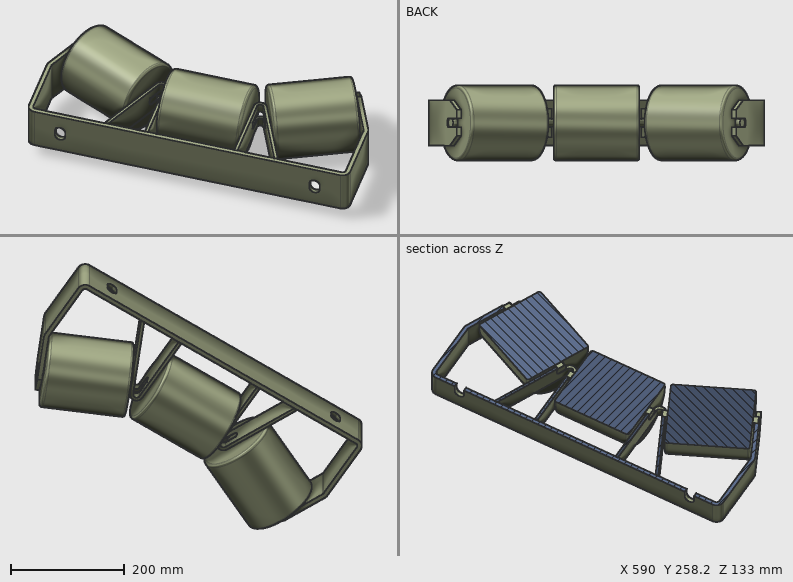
import cadquery as cq
import math

frame_length = 590.0
lean = 25.0
lean_rad = math.radians(lean)
along_axis = cq.Vector(math.cos(lean_rad), -math.sin(lean_rad))
up_leg = cq.Vector(math.sin(lean_rad), math.cos(lean_rad))

frame_width = 80.0
frame_thickness = 8.0
frame_bend_radius = 14.0
wing_start = 125.0
wing_length = 117.5
tip_chamfer_length = 29.5
tip_chamfer_width = 17.0
mount_slot_spacing = 467.0
mount_slot_width = 19.0
mount_slot_height = 28.5

roller_diameter = 133.0
roller_length = 151.0
roller_edge_radius = 5.0
roller_gap = 3.5
axle_diameter = 20.0
axle_flat_width = 14.0
axle_slot_width = 16.0
axle_slot_length = 59.0
center_axle_y = 125.0
wing_axle_depth = 30.0

support_width = 50.0
support_thickness = 6.0
support_bend_radius = 12.0
support_top = 154.0

frame_corner = cq.Vector(-frame_length / 2, wing_start)
support_face_x = roller_length / 2 + roller_gap
axle_length = 2 * (support_face_x + support_thickness)
bend_center = cq.Vector(-support_face_x - support_bend_radius, support_top - support_bend_radius)
leaning_face = bend_center - along_axis * support_bend_radius
wing_axle = frame_corner + up_leg * (wing_length - wing_axle_depth)
side_roller_reach = (leaning_face - wing_axle).dot(along_axis) - support_face_x
side_roller_center = wing_axle + along_axis * side_roller_reach


def xy(point):
    return (point.x, point.y)


def extrude_plate(outline, width):
    """Close an XY outline and extrude it to a width centred on Z = 0."""
    return outline.close().extrude(width).translate((0, 0, -width / 2))


def axle_slot(axle_point, open_direction, reach):
    """Cutter for an open-ended slot whose round bottom is concentric with the axle.

    It extends by `reach` to both sides of the axle point along the axle.
    """
    normal = cq.Vector(-open_direction.y, open_direction.x)
    plane = cq.Plane(origin=axle_point - normal * reach, xDir=open_direction, normal=normal)
    half_width = axle_slot_width / 2
    radius = axle_diameter / 2
    arc_start = -math.sqrt(radius**2 - half_width**2)
    return (
        cq.Workplane(plane)
        .moveTo(axle_slot_length, half_width).lineTo(arc_start, half_width)
        .threePointArc((-radius, 0), (arc_start, -half_width))
        .lineTo(axle_slot_length, -half_width).close()
        .extrude(2 * reach)
    )


def make_roller(center, angle):
    """Roller with its axle, the axle ends flattened on top and bottom."""
    drum = (
        cq.Workplane("YZ", origin=(-roller_length / 2, 0, 0)).circle(roller_diameter / 2)
        .extrude(roller_length).edges().fillet(roller_edge_radius)
    )
    axle = cq.Workplane("YZ", origin=(-axle_length / 2, 0, 0)).circle(axle_diameter / 2).extrude(axle_length)
    flats = cq.Workplane("XY").box(axle_length, axle_diameter, axle_flat_width)
    roller = drum.union(axle.intersect(flats))
    return roller.rotate((0, 0, 0), (0, 0, 1), angle).translate(center)


def make_left_frame():
    """Left half of the bent strip: base, side and leaning wing."""
    t = frame_thickness
    tip = frame_corner + up_leg * wing_length
    inner_tip = tip + along_axis * t
    inner_corner = frame_corner + cq.Vector(t, -t * math.tan(lean_rad / 2))
    base_corner = cq.Vector(-frame_length / 2, 0)
    inner_base_corner = base_corner + cq.Vector(t, t)
    left_half = extrude_plate(
        cq.Workplane("XY").moveTo(0, 0).lineTo(*xy(base_corner)).lineTo(*xy(frame_corner))
        .lineTo(*xy(tip)).lineTo(*xy(inner_tip)).lineTo(*xy(inner_corner))
        .lineTo(*xy(inner_base_corner)).lineTo(0, t),
        frame_width,
    )
    for corner in (base_corner, frame_corner):
        left_half = left_half.edges(cq.NearestToPointSelector(corner)).fillet(frame_bend_radius)
    for corner in (inner_base_corner, inner_corner):
        left_half = left_half.edges(cq.NearestToPointSelector(corner)).fillet(frame_bend_radius - t)

    tip_plane = cq.Plane(origin=tip, xDir=up_leg, normal=along_axis)
    for side in (1, -1):
        edge = side * frame_width / 2
        corner_cut = (
            cq.Workplane(tip_plane)
            .moveTo(-tip_chamfer_length, edge).lineTo(0, edge)
            .lineTo(0, edge - side * tip_chamfer_width).close()
            .extrude(t)
        )
        left_half = left_half.cut(corner_cut)
    return left_half.cut(axle_slot(wing_axle, up_leg, 2 * t))


def make_frame():
    left = make_left_frame()
    frame = left.union(left.mirror("YZ"))
    mount_slots = (
        cq.Workplane("XZ").pushPoints([(-mount_slot_spacing / 2, 0), (mount_slot_spacing / 2, 0)])
        .slot2D(mount_slot_height, mount_slot_width, 90).extrude(-frame_thickness)
    )
    return frame.cut(mount_slots)


def make_left_support():
    """Folded inner support: an upright leg and a leaning leg joined by a round bend."""
    t = support_thickness
    inner_radius = support_bend_radius - t
    mid_bend = (cq.Vector(1, 0) - along_axis).normalized()

    def foot_of(point):
        drop = point.y - frame_thickness
        return (point.x - drop * math.tan(lean_rad), frame_thickness)

    inner_leaning_face = bend_center - along_axis * inner_radius
    support = extrude_plate(
        cq.Workplane("XY").moveTo(-support_face_x, frame_thickness)
        .lineTo(-support_face_x, bend_center.y)
        .threePointArc(xy(bend_center + mid_bend * support_bend_radius), xy(leaning_face))
        .lineTo(*foot_of(leaning_face))
        .lineTo(*foot_of(inner_leaning_face))
        .lineTo(*xy(inner_leaning_face))
        .threePointArc(xy(bend_center + mid_bend * inner_radius), (-support_face_x - t, bend_center.y))
        .lineTo(-support_face_x - t, frame_thickness),
        support_width,
    )
    center_axle = cq.Vector(-support_face_x, center_axle_y)
    side_axle = side_roller_center + along_axis * support_face_x
    support = support.cut(axle_slot(center_axle, cq.Vector(0, 1), support_bend_radius))
    return support.cut(axle_slot(side_axle, up_leg, support_bend_radius))


frame = make_frame()
left_support = make_left_support()
supports = [left_support, left_support.mirror("YZ")]
roller_places = [
    (side_roller_center, -lean),
    (cq.Vector(0, center_axle_y), 0),
    (cq.Vector(-side_roller_center.x, side_roller_center.y), lean),
]
rollers = [make_roller(center, angle) for center, angle in roller_places]

bodies = [frame, *supports, *rollers]
result = cq.Compound.makeCompound([body.solids().val() for body in bodies])